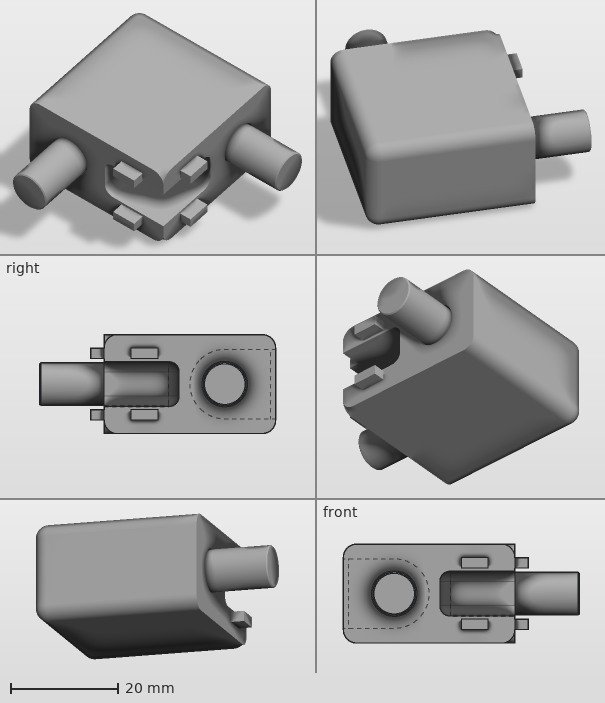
import cadquery as cq

overall = 44.0
pin_reach = 12.0
side = overall - pin_reach
height = 18.5
edge_radius = 2.5

pocket_size = 14.0
pocket_height = 8.4
pocket_radius = 2.0

tab_length = 5.0
tab_thickness = 2.0
tab_reach = 2.5
tab_start = 22.0
tab_top = height / 2 - edge_radius

pin_diameter = 8.0
pin_chamfer = 0.2
bore_diameter = 8.5
bore_depth = 12.0
pin_offset = 9.5

inlay_width = 13.0
inlay_length = side / 2
inlay_thickness = 1.0


def mirrored(shape):
    """Swap the -Y side with the +X side, and the -X side with the +Y side."""
    return shape.mirror((1, 1, 0), (side / 2, side / 2, 0))


def rounded_block(inset):
    """Block with rounded -X and +Y sides, drawn in from those sides, top and bottom by the inset."""
    length = side - inset
    return (
        cq.Workplane()
        .box(length, length, height - 2 * inset, centered=(False, False, True))
        .translate((inset, 0, 0))
        .edges("<X or >Y")
        .edges("not(<Y or >X)")
        .fillet(edge_radius - inset)
    )


def make_corner_cutter():
    """Ring that rounds the top +X, -Y corner, turned about the vertical edge of the block."""
    top = height / 2
    arc_bottom = top - edge_radius
    return (
        cq.Workplane("XZ")
        .moveTo(0, arc_bottom)
        .radiusArc((edge_radius, top), edge_radius)
        .lineTo(0, top)
        .close()
        .revolve(360, (0, 0), (0, 1))
        .translate((side, 0, 0))
    )


def make_pocket():
    """Pocket cutter with its inner edges and corners rounded."""
    return (
        cq.Workplane()
        .box(pocket_size, pocket_size, pocket_height, centered=(False, False, True))
        .translate((side - pocket_size, 0, 0))
        .edges("<X or >Y")
        .edges("not(<Y or >X)")
        .fillet(pocket_radius)
    )


def make_tabs():
    """Upper and lower tab on the -Y side."""
    upper = (
        cq.Workplane()
        .box(tab_length, tab_reach, tab_thickness, centered=False)
        .translate((tab_start, -tab_reach, tab_top - tab_thickness))
    )
    return upper.union(upper.mirror("XY"))


def make_bore():
    """Blind bore in the -Y side."""
    return cq.Workplane("XZ").center(pin_offset, 0).circle(bore_diameter / 2).extrude(-bore_depth)


def make_pin():
    """Pin that stands on the bore floor and sticks out of the -Y side."""
    return (
        cq.Workplane("XZ", origin=(pin_offset, bore_depth, 0))
        .circle(pin_diameter / 2)
        .extrude(bore_depth + pin_reach)
        .faces("<Y")
        .chamfer(pin_chamfer)
    )


def make_inlay():
    """Thin shell with a round end on the -X side and another on the +Y side."""
    end_radius = inlay_width / 2
    arc_start = side - inlay_length + end_radius
    outline = (
        cq.Workplane("YZ")
        .moveTo(side, end_radius)
        .lineTo(arc_start, end_radius)
        .threePointArc((side - inlay_length, 0), (arc_start, -end_radius))
        .lineTo(side, -end_radius)
        .close()
        .extrude(edge_radius)
    )
    shell = rounded_block(0).cut(rounded_block(inlay_thickness))
    return shell.intersect(outline.union(mirrored(outline)))


def make_housing(inlay):
    """Block with the pocket, both pairs of tabs, both bores and the recess for the inlay."""
    corner_cutter = make_corner_cutter()
    housing = rounded_block(0).cut(corner_cutter).cut(corner_cutter.mirror("XY")).cut(make_pocket())
    tabs = make_tabs()
    bore = make_bore()
    for tab_pair in (tabs, mirrored(tabs)):
        housing = housing.union(tab_pair)
    for pin_bore in (bore, mirrored(bore)):
        housing = housing.cut(pin_bore)
    return housing.cut(inlay)


inlay = make_inlay()
housing = make_housing(inlay)

pin = make_pin()
pins = []
for placed_pin in (pin, mirrored(pin)):
    pins.append(placed_pin.val())

result = cq.Compound.makeCompound([housing.val(), inlay.val(), *pins])